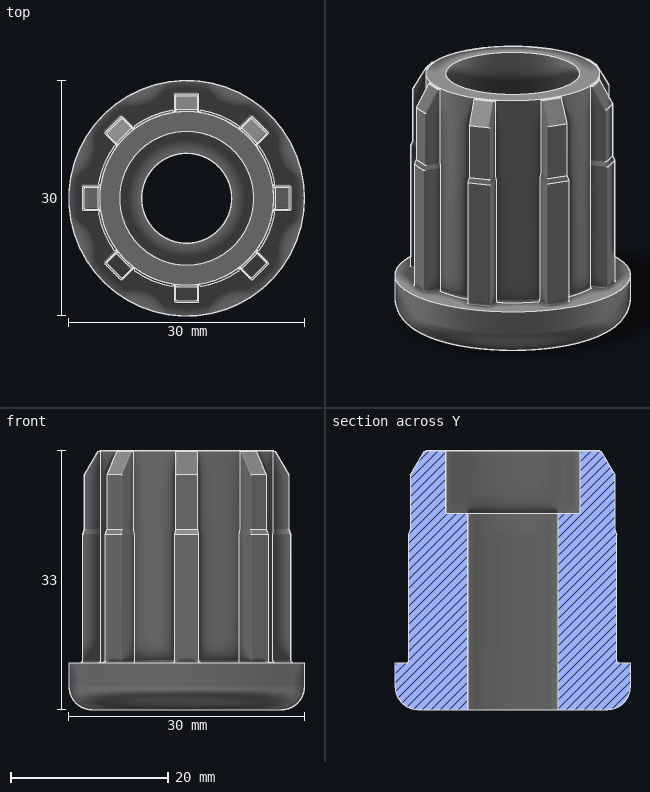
import cadquery as cq

total_height = 33.0
flange_diameter = 30.0
flange_height = 6.0
flange_round = 3.0

sleeve_radius = 11.05
bore_radius = 8.5
bore_depth = 8.0
through_radius = 5.7

rib_count = 8
rib_edge_round = 0.2
lower_width = 3.07
lower_reach = 13.25
upper_width = 2.8
upper_reach = 13.05
step_bottom = 22.35
step_height = 0.63
rib_top = 32.9
tip_height = 2.97
tip_reach = 11.3

root_fillet = 0.3

step_top = step_bottom + step_height
tip_bottom = rib_top - tip_height
rib_inner = (bore_radius + sleeve_radius) / 2


def make_flange():
    disc = cq.Workplane("XY").circle(flange_diameter / 2).extrude(flange_height)
    return disc.faces("<Z").edges().fillet(flange_round)


def make_sleeve():
    base = cq.Workplane("XY").workplane(offset=flange_height)
    return base.circle(sleeve_radius).extrude(total_height - flange_height)


def rib_section(plane, reach, width):
    """Add a rectangle along +X whose two outer corners are rounded."""
    half_width = width / 2
    round_inset = rib_edge_round * (1 - 0.5**0.5)
    round_start_x = reach - rib_edge_round
    round_end_y = half_width - rib_edge_round
    arc_mid_x = reach - round_inset
    arc_mid_y = half_width - round_inset
    return (
        plane.moveTo(rib_inner, -half_width)
        .lineTo(round_start_x, -half_width)
        .threePointArc((arc_mid_x, -arc_mid_y), (reach, -round_end_y))
        .lineTo(reach, round_end_y)
        .threePointArc((arc_mid_x, arc_mid_y), (round_start_x, half_width))
        .lineTo(rib_inner, half_width)
        .close()
    )


def make_lower_stage():
    base = cq.Workplane("XY").workplane(offset=flange_height)
    return rib_section(base, lower_reach, lower_width).extrude(step_bottom - flange_height)


def make_step():
    base = cq.Workplane("XY").workplane(offset=step_bottom)
    wide = rib_section(base, lower_reach, lower_width)
    narrow = rib_section(wide.workplane(offset=step_height), upper_reach, upper_width)
    return narrow.loft(ruled=True)


def make_upper_stage():
    profile = [
        (rib_inner, step_top),
        (upper_reach, step_top),
        (upper_reach, tip_bottom),
        (tip_reach, rib_top),
        (rib_inner, rib_top),
    ]
    stage = cq.Workplane("XZ").polyline(profile).close().extrude(upper_width / 2, both=True)
    outer_side_edges = stage.faces(">X").edges("|Z")
    tip_side_edges = stage.edges("not(|X or |Y or |Z)")
    return outer_side_edges.add(tip_side_edges).fillet(rib_edge_round)


def add_ribs(body):
    rib = make_lower_stage().union(make_step()).union(make_upper_stage())
    for index in range(rib_count):
        body = body.union(rib.rotate((0, 0, 0), (0, 0, 1), index * 360 / rib_count))
    return body


def fillet_root(body):
    flange_top = body.faces("|Z").faces(cq.selectors.NearestToPointSelector((0, 0, flange_height)))
    root_edges = flange_top.val().innerWires()[0].Edges()
    return body.newObject(root_edges).fillet(root_fillet)


def cut_bores(body):
    bore_floor = cq.Workplane("XY").workplane(offset=total_height - bore_depth)
    bore = bore_floor.circle(bore_radius).extrude(bore_depth)
    through_hole = cq.Workplane("XY").circle(through_radius).extrude(total_height)
    return body.cut(bore).cut(through_hole)


body = add_ribs(make_flange().union(make_sleeve()))
result = cut_bores(fillet_root(body))